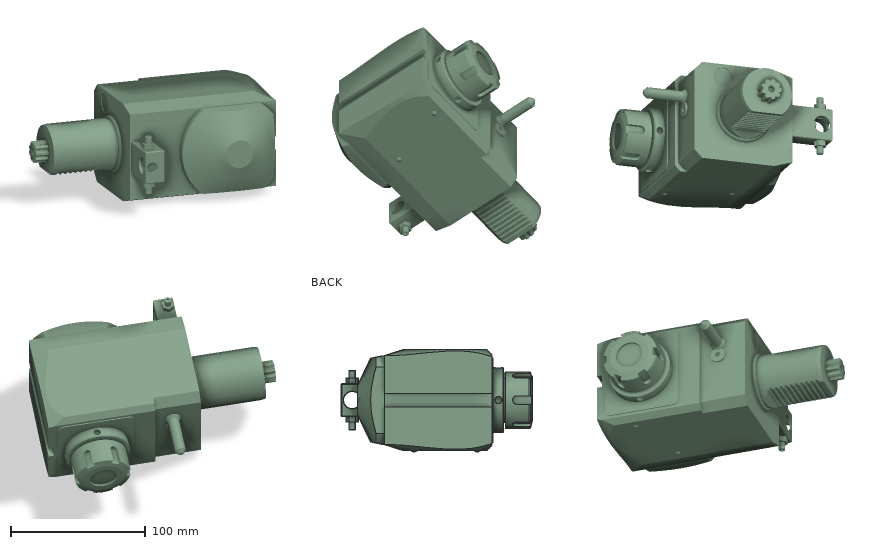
import cadquery as cq
import math


HOUSING_LENGTH = 116.0
HALF_HEIGHT = 37.8
LEFT_FACE = -41.5
RIGHT_FACE = 38.8
LEFT_CHAMFER = 4.1
STEP_LENGTH = 35.0
STEP_DEPTH = 2.7
STEP_CHAMFER = 6.3
SLOPE_START = 24.3
RIGHT_HALF_HEIGHT = 33.1
REAR_SLOPE = 0.33
REAR_CROWN = [(-14.3, 36.7), (24.3, 33.7)]
REAR_LEFT_HEIGHT = 32.4
REAR_RIGHT_HEIGHT = 33.1
SLOT_WIDTH = 10.0
SLOT_DEPTH = 4.1

SHANK_RADIUS = 20.0
SHANK_LENGTH = 53.0
COLLAR_RADIUS = 21.8
COLLAR_LENGTH = 2.1
NECK_RADIUS = 19.5
NECK_LENGTH = 1.6
SHANK_END_RADIUS = 19.5
SHANK_END_LENGTH = 3.2
RACK_CREST = -15.5
RACK_TOOTH_DEPTH = 1.0
RACK_GROOVES = 10
RACK_FIRST_GROOVE = -11.5
RACK_LAST_GROOVE = -47.6
RACK_PITCH = (RACK_FIRST_GROOVE - RACK_LAST_GROOVE) / (RACK_GROOVES - 1)
GROOVE_MOUTH = 3.2
GROOVE_FLOOR = 1.8
RAMP_START = -4.3

SPLINE_TIP_RADIUS = 8.2
SPLINE_ROOT_RADIUS = 6.5
SPLINE_COUNT = 9
SPLINE_TIP_WIDTH = 1.8
SPLINE_ROOT_WIDTH = 3.5
SPLINE_END = 63.0
SPLINE_CHAMFER = 0.5
SPLINE_HOLE_RADIUS = 2.3
SPLINE_HOLE_CHAMFER = 0.7
COUNTERSINK_ANGLE = 90
SPLINE_HOLE_DEPTH = 3.5

SPINDLE_Y = 80.0
NUT_FRONT = -71.6
NUT_RADIUS = 21.1
NUT_BACK = -51.4
NUT_FACE_RADIUS = 15.2
NUT_SHOULDER_RADIUS = 20.8
NUT_CONE_LENGTH = 1.5
NUT_RIM_LENGTH = 2.5
NUT_BORE_RADIUS = 10.4
NUT_BORE_DEPTH = 1.8
NUT_SLOTS = 6
NUT_SLOT_WIDTH = 6.5
NUT_SLOT_FLOOR = 18.0
NUT_SLOT_END = -57.0
GAP_RADIUS = 16.6
FLANGE_FRONT = -50.1
FLANGE_RADIUS = 24.2
FLANGE_CHAMFER = 0.5
FLANGE_HOLES = 4
FLANGE_HOLE_RADIUS = 2.7
FLANGE_HOLE_X = -46.2
FLANGE_HOLE_DEPTH = 3.5
FLANGE_HOLE_CONE = 1.6

PLATE_THICKNESS = 0.7
PLATE_START = 51.2
PLATE_END = 109.2
PLATE_HALF_HEIGHT = 31.5
PLATE_CORNER = 4.7

COVER_RADIUS = 40.3
COVER_CYLINDER_END = 45.0
COVER_TIP_X = 58.9
COVER_TIP_RADIUS = 10.7
COVER_REAR = 111.7
COVER_HALF_HEIGHT = 33.0
COVER_SLOPE_START = 40.8
COVER_SLOPE_ANGLE = 12

PIPE_Y = 21.1
PIPE_Z = 16.1
PIPE_RADIUS = 4.1
PIPE_TIP_RADIUS = 1.6
PIPE_TIP_LENGTH = 2.7
PIPE_FOOT_RADIUS = 5.7
PIPE_FOOT_LENGTH = 0.7
PIPE_FLARE_LENGTH = 2.1
PLUG_Z = 6.0
PLUG_HEIGHT = 1.5
PLUG_HOLE_RADIUS = 2.0

RECESS_X = -16.1
RECESS_Z = 27.7
RECESS_RADIUS = 7.5
RECESS_DEPTH = 0.7

ARM_END = 71.0
ARM_FRONT = 0.9
ARM_BACK = 16.0
ARM_HALF_HEIGHT = 12.4
ARM_EDGE = 0.5
ARM_HOLE_X = 62.8
ARM_HOLE_RADIUS = 6.5
STUD_Y = 6.0
STUD_RADIUS = 2.5
STUD_HALF_LENGTH = 22.2
STUD_CHAMFER = 0.4
SOCKET_WIDTH = 2.5
SOCKET_DEPTH = 1.8
HEX_SIDES = 6
HEX_WIDTH = 9.3
HEX_HEIGHT = 4.1
LOCK_PIN_RADIUS = 3.4
END_BORE_RADIUS = 4.1
LOCK_PIN_TIP = 58.7
STUD_TIP_Z = 7.5

POINT_PLACES = [(-30.5, 88.8), (16.6, 71.8)]
POINT_RADIUS = 2.3
POINT_TIP_RADIUS = 0.5
POINT_HEIGHT = 1.0

OVERLAP = 1.8
CLEAR = 17.9


def box(x0, x1, y0, y1, z0, z1):
    return cq.Workplane("XY").box(x1 - x0, y1 - y0, z1 - z0, centered=False).translate((x0, y0, z0))


def turned_x(profile, y, z):
    """Revolve (x, radius) points about the line parallel to X through (y, z)."""
    solid = cq.Workplane("XY").polyline(profile).close().revolve(360, (0, 0, 0), (1, 0, 0))
    return solid.translate((0, y, z))


def rod_x(x0, x1, radius, y, z):
    return cq.Workplane("YZ", origin=(x0, y, z)).circle(radius).extrude(x1 - x0)


def both_sides(body):
    """The body together with its mirror image below the mid plane z = 0."""
    return body.union(body.mirror("XY"))


def housing_section(left, chamfer, length):
    upper = [
        (left, HALF_HEIGHT - chamfer),
        (left + chamfer, HALF_HEIGHT),
        (SLOPE_START, HALF_HEIGHT),
        (RIGHT_FACE, RIGHT_HALF_HEIGHT),
    ]
    lower = [(x, -z) for x, z in reversed(upper)]
    return cq.Workplane("XZ").polyline(upper + lower).close().extrude(-length)


def rear_bevel():
    """Cutter that slopes the top down to a crowned rear edge."""
    left = LEFT_FACE - CLEAR
    right = RIGHT_FACE + CLEAR
    crown = [(LEFT_FACE, REAR_LEFT_HEIGHT)] + REAR_CROWN + [(RIGHT_FACE, REAR_RIGHT_HEIGHT)]
    profile = (
        cq.Workplane("XZ", origin=(0, HOUSING_LENGTH, 0))
        .moveTo(left, REAR_LEFT_HEIGHT)
        .lineTo(*crown[0])
        .spline(crown[1:], includeCurrent=True)
        .lineTo(right, REAR_RIGHT_HEIGHT)
        .lineTo(right, HALF_HEIGHT + CLEAR)
        .lineTo(left, HALF_HEIGHT + CLEAR)
        .close()
    )
    sweep = cq.Vector(0, -CLEAR, CLEAR * REAR_SLOPE)
    return cq.Workplane(cq.Solid.extrudeLinear(profile.val(), [], sweep))


def housing():
    body = housing_section(LEFT_FACE, LEFT_CHAMFER, HOUSING_LENGTH)
    step = box(
        LEFT_FACE - CLEAR, RIGHT_FACE + CLEAR,
        -CLEAR, STEP_LENGTH,
        -HALF_HEIGHT, HALF_HEIGHT,
    )
    body = body.cut(step)
    body = body.union(housing_section(LEFT_FACE + STEP_DEPTH, STEP_CHAMFER, STEP_LENGTH))
    body = body.cut(both_sides(rear_bevel()))
    slot = box(
        LEFT_FACE - CLEAR, RIGHT_FACE + CLEAR,
        HOUSING_LENGTH - SLOT_DEPTH, HOUSING_LENGTH + CLEAR,
        -SLOT_WIDTH / 2, SLOT_WIDTH / 2,
    )
    recess = cq.Workplane("XZ", origin=(RECESS_X, 0, RECESS_Z)).circle(RECESS_RADIUS).extrude(-RECESS_DEPTH)
    return body.cut(slot).cut(recess)


def rack_cutter():
    """Material removed below the shank to leave the toothed clamping flat."""
    ramp_end = RAMP_START - (SHANK_RADIUS + RACK_CREST)
    bottom = -SHANK_RADIUS - CLEAR
    profile = [
        (RAMP_START + CLEAR, bottom),
        (ramp_end, RACK_CREST),
        (-SHANK_LENGTH - CLEAR, RACK_CREST),
        (-SHANK_LENGTH - CLEAR, bottom),
    ]
    plane = cq.Workplane("YZ", origin=(-SHANK_RADIUS, 0, 0))
    cutter = plane.polyline(profile).close().extrude(2 * SHANK_RADIUS)
    for index in range(RACK_GROOVES):
        y = RACK_FIRST_GROOVE - index * RACK_PITCH
        top = RACK_CREST + RACK_TOOTH_DEPTH
        groove = [
            (y - GROOVE_MOUTH / 2, RACK_CREST),
            (y - GROOVE_FLOOR / 2, top),
            (y + GROOVE_FLOOR / 2, top),
            (y + GROOVE_MOUTH / 2, RACK_CREST),
        ]
        cutter = cutter.union(plane.polyline(groove).close().extrude(2 * SHANK_RADIUS))
    return cutter


def shank():
    neck_end = COLLAR_LENGTH + NECK_LENGTH
    collar_round = COLLAR_RADIUS - SHANK_RADIUS
    body = (
        cq.Workplane("XY")
        .moveTo(0, OVERLAP)
        .lineTo(COLLAR_RADIUS, OVERLAP)
        .lineTo(COLLAR_RADIUS, collar_round - COLLAR_LENGTH)
        .tangentArcPoint((SHANK_RADIUS, -COLLAR_LENGTH), relative=False)
        .lineTo(NECK_RADIUS, -COLLAR_LENGTH)
        .lineTo(NECK_RADIUS, -neck_end)
        .lineTo(SHANK_RADIUS, -neck_end)
        .lineTo(SHANK_RADIUS, SHANK_END_LENGTH - SHANK_LENGTH)
        .lineTo(SHANK_END_RADIUS, -SHANK_LENGTH)
        .lineTo(0, -SHANK_LENGTH)
        .close()
        .revolve(360, (0, 0, 0), (0, 1, 0))
    )
    return body.cut(rack_cutter())


def spline_end():
    length = SPLINE_END - SHANK_LENGTH
    plane = cq.Workplane("XZ", origin=(0, -SHANK_LENGTH + OVERLAP, 0))
    body = plane.circle(SPLINE_ROOT_RADIUS).extrude(length + OVERLAP)
    tooth_outline = [
        (0, -SPLINE_ROOT_WIDTH / 2),
        (SPLINE_ROOT_RADIUS, -SPLINE_ROOT_WIDTH / 2),
        (SPLINE_TIP_RADIUS, -SPLINE_TIP_WIDTH / 2),
        (SPLINE_TIP_RADIUS, SPLINE_TIP_WIDTH / 2),
        (SPLINE_ROOT_RADIUS, SPLINE_ROOT_WIDTH / 2),
        (0, SPLINE_ROOT_WIDTH / 2),
    ]
    tooth = plane.polyline(tooth_outline).close().extrude(length + OVERLAP)
    for index in range(SPLINE_COUNT):
        body = body.union(tooth.rotate((0, 0, 0), (0, 1, 0), index * 360 / SPLINE_COUNT))
    envelope = plane.circle(SPLINE_TIP_RADIUS).extrude(length + OVERLAP)
    envelope = envelope.faces("<Y").chamfer(SPLINE_CHAMFER)
    body = body.intersect(envelope)
    mouth = 2 * (SPLINE_HOLE_RADIUS + SPLINE_HOLE_CHAMFER)
    end_face = body.faces("<Y").workplane(origin=(0, -SPLINE_END, 0))
    return end_face.cskHole(2 * SPLINE_HOLE_RADIUS, mouth, COUNTERSINK_ANGLE, depth=SPLINE_HOLE_DEPTH)


def about_spindle(body, angle):
    return body.rotate((0, SPINDLE_Y, 0), (1, SPINDLE_Y, 0), angle)


def spindle():
    cone_end = NUT_FRONT + NUT_CONE_LENGTH
    profile = [
        (NUT_FRONT + NUT_BORE_DEPTH, 0),
        (NUT_FRONT + NUT_BORE_DEPTH, NUT_BORE_RADIUS),
        (NUT_FRONT, NUT_BORE_RADIUS),
        (NUT_FRONT, NUT_FACE_RADIUS),
        (cone_end, NUT_SHOULDER_RADIUS),
        (NUT_FRONT + NUT_RIM_LENGTH, NUT_RADIUS),
        (NUT_BACK, NUT_RADIUS),
        (NUT_BACK, GAP_RADIUS),
        (FLANGE_FRONT, GAP_RADIUS),
        (FLANGE_FRONT, FLANGE_RADIUS - FLANGE_CHAMFER),
        (FLANGE_FRONT + FLANGE_CHAMFER, FLANGE_RADIUS),
        (LEFT_FACE + OVERLAP, FLANGE_RADIUS),
        (LEFT_FACE + OVERLAP, 0),
    ]
    body = turned_x(profile, SPINDLE_Y, 0)

    half = NUT_SLOT_WIDTH / 2
    slot = (
        cq.Workplane("XZ", origin=(0, SPINDLE_Y - NUT_SLOT_FLOOR, 0))
        .moveTo(NUT_FRONT - CLEAR, -half)
        .lineTo(NUT_SLOT_END - half, -half)
        .threePointArc((NUT_SLOT_END, 0), (NUT_SLOT_END - half, half))
        .lineTo(NUT_FRONT - CLEAR, half)
        .close()
        .extrude(CLEAR)
    )
    for index in range(NUT_SLOTS):
        body = body.cut(about_spindle(slot, index * 360 / NUT_SLOTS))

    floor = FLANGE_RADIUS - FLANGE_HOLE_DEPTH
    hole = (
        cq.Workplane("XZ", origin=(FLANGE_HOLE_X, SPINDLE_Y, 0))
        .moveTo(0, floor - FLANGE_HOLE_CONE)
        .lineTo(FLANGE_HOLE_RADIUS, floor)
        .lineTo(FLANGE_HOLE_RADIUS, FLANGE_RADIUS + CLEAR)
        .lineTo(0, FLANGE_RADIUS + CLEAR)
        .close()
        .revolve(360, (0, 0, 0), (0, 1, 0))
    )
    for index in range(FLANGE_HOLES):
        body = body.cut(about_spindle(hole, index * 360 / FLANGE_HOLES))
    return body


def seal_plate():
    plate = box(
        LEFT_FACE - PLATE_THICKNESS, LEFT_FACE + OVERLAP,
        PLATE_START, PLATE_END,
        -PLATE_HALF_HEIGHT, PLATE_HALF_HEIGHT,
    )
    return plate.edges("|X").fillet(PLATE_CORNER)


def gear_cover():
    inside = RIGHT_FACE - OVERLAP
    profile = [
        (inside, 0),
        (inside, COVER_RADIUS),
        (COVER_CYLINDER_END, COVER_RADIUS),
        (COVER_TIP_X, COVER_TIP_RADIUS),
        (COVER_TIP_X, 0),
    ]
    drop = (COVER_TIP_X - COVER_SLOPE_START) * math.tan(math.radians(COVER_SLOPE_ANGLE))
    upper = [
        (inside, COVER_HALF_HEIGHT),
        (COVER_SLOPE_START, COVER_HALF_HEIGHT),
        (COVER_TIP_X, COVER_HALF_HEIGHT - drop),
    ]
    lower = [(x, -z) for x, z in reversed(upper)]
    envelope = cq.Workplane("XZ", origin=(0, COVER_REAR, 0)).polyline(upper + lower).close()
    return turned_x(profile, SPINDLE_Y, 0).intersect(envelope.extrude(2 * COVER_RADIUS))


def coolant_pipe():
    face = LEFT_FACE + STEP_DEPTH
    foot = face - PIPE_FOOT_LENGTH
    profile = [
        (NUT_FRONT, 0),
        (NUT_FRONT, PIPE_TIP_RADIUS),
        (NUT_FRONT + PIPE_TIP_LENGTH, PIPE_RADIUS),
        (foot - PIPE_FLARE_LENGTH, PIPE_RADIUS),
        (foot, PIPE_FOOT_RADIUS),
        (face + OVERLAP, PIPE_FOOT_RADIUS),
        (face + OVERLAP, 0),
    ]
    return turned_x(profile, PIPE_Y, PIPE_Z)


def plug():
    face = LEFT_FACE + STEP_DEPTH
    head = rod_x(face - PLUG_HEIGHT, face + OVERLAP, PIPE_FOOT_RADIUS, PIPE_Y, PLUG_Z)
    hole = rod_x(face - PLUG_HEIGHT, face, PLUG_HOLE_RADIUS, PIPE_Y, PLUG_Z)
    return head.cut(hole)


def stud():
    """Upper half of the set screw with its lock nut."""
    start = ARM_HALF_HEIGHT - OVERLAP
    plane = cq.Workplane("XY", origin=(ARM_HOLE_X, STUD_Y, start))
    screw = plane.circle(STUD_RADIUS).extrude(STUD_HALF_LENGTH - start).faces(">Z").chamfer(STUD_CHAMFER)
    screw = screw.faces(">Z").workplane().polygon(HEX_SIDES, SOCKET_WIDTH).cutBlind(-SOCKET_DEPTH)
    return screw.union(plane.polygon(HEX_SIDES, HEX_WIDTH).extrude(HEX_HEIGHT + OVERLAP))


def locating_arm():
    arm = box(RIGHT_FACE - OVERLAP, ARM_END, ARM_FRONT, ARM_BACK, -ARM_HALF_HEIGHT, ARM_HALF_HEIGHT)
    arm = arm.edges("|X or >X").chamfer(ARM_EDGE)
    hole = cq.Workplane("XZ", origin=(ARM_HOLE_X, ARM_BACK, 0)).circle(ARM_HOLE_RADIUS)
    arm = arm.cut(hole.extrude(ARM_BACK - ARM_FRONT))
    end_bore = rod_x(ARM_HOLE_X, ARM_END, END_BORE_RADIUS, STUD_Y, 0)
    stud_bore = cq.Workplane("XY", origin=(ARM_HOLE_X, STUD_Y, -STUD_TIP_Z)).circle(STUD_RADIUS)
    arm = arm.cut(end_bore).cut(stud_bore.extrude(2 * STUD_TIP_Z))
    lock_pin = rod_x(RIGHT_FACE, LOCK_PIN_TIP, LOCK_PIN_RADIUS, STUD_Y, 0)
    return arm.union(lock_pin).union(both_sides(stud()))


def screw_point(x, y):
    cone = cq.Solid.makeCone(
        POINT_RADIUS, POINT_TIP_RADIUS, POINT_HEIGHT,
        pnt=cq.Vector(x, y, -HALF_HEIGHT), dir=cq.Vector(0, 0, -1),
    )
    root = cq.Workplane("XY", origin=(x, y, -HALF_HEIGHT)).circle(POINT_RADIUS).extrude(OVERLAP)
    return root.union(cq.Workplane(cone))


result = housing()
features = [
    shank(),
    spline_end(),
    seal_plate(),
    spindle(),
    gear_cover(),
    coolant_pipe(),
    plug(),
    locating_arm(),
]
for feature in features:
    result = result.union(feature)
for place in POINT_PLACES:
    result = result.union(screw_point(*place))